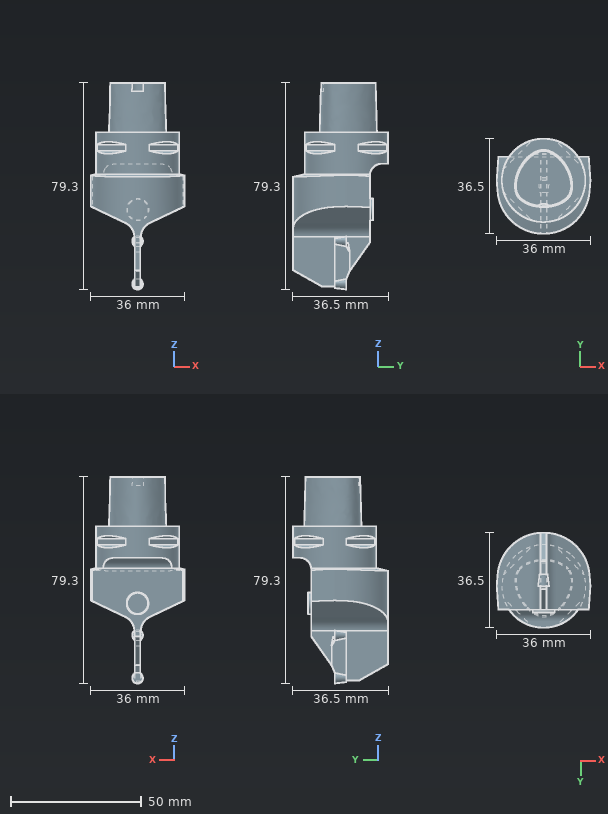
import cadquery as cq
import math


shank_height = 18.9
shank_mean_radius = 11.0
shank_lobe = 0.7
shank_shrink = 0.5
shank_points = 48
key_radius = 3.25
key_center_y = -12.2
key_depth = 3.3

flange_radius = 32.0 / 2
flange_height = 16.1
grip_z = -6.0
grip_flat_distance = 14.0
grip_floor_half = 1.2
grip_mouth_half = 2.3
grip_overcut = 0.8
grip_angles = (45, 135, 225, 315)

back_y = 9.05
front_y = -20.5
back_half_width = 17.4
body_half_width = 18.0
body_side_top_y = 0.15
body_side_low_y = -0.3
arc_start_half_width = 17.7
arc_start_y = -4.3
crown_slope = 0.25
undercut_z = -12.2
undercut_radius = 4.4

body_side_bottom_z = -28.55
neck_half = 1.31
neck_z = -40.2
neck_radius = 5.9
neck_angle = 65

blade_half = 1.1
blade_back_z = -42.35
blade_front_z = -53.0
blade_bottom_z = -59.2
blade_bottom_front_y = -9.4

seat_y = -4.5
insert_back_y = 1.2
node_radius = 2.1
insert_bottom_z = shank_height - 79.3
low_node_z = insert_bottom_z + node_radius
high_node_z = -41.9
clearance_angle = 7
flare_angle = 36.5
insert_back_low_z = -53.45
insert_back_high_z = -45.9
node_reach = 2.0
relief_width = 0.55
relief_top_z = -42.5

plug_diameter = 8.5
plug_z = -29.65
plug_height = 1.3
plug_chamfer = 0.2


def lobed_section(mean_radius, z):
    """Closed three-lobed curve of constant width, one lobe toward +Y."""
    points = []
    for i in range(shank_points):
        normal = math.pi / 2 + 2 * math.pi * i / shank_points
        phase = 3 * (normal - math.pi / 2)
        support = mean_radius + shank_lobe * math.cos(phase)
        slope = -3 * shank_lobe * math.sin(phase)
        x = support * math.cos(normal) - slope * math.sin(normal)
        y = support * math.sin(normal) + slope * math.cos(normal)
        points.append(cq.Vector(x, y, z))
    return cq.Wire.assembleEdges([cq.Edge.makeSpline(points, periodic=True)])


def make_shank():
    base = lobed_section(shank_mean_radius, 0)
    top = lobed_section(shank_mean_radius - shank_shrink, shank_height)
    shank = cq.Workplane(cq.Solid.makeLoft([base, top]))
    key = (
        cq.Workplane("XY", origin=(0, key_center_y, shank_height - key_depth))
        .circle(key_radius)
        .extrude(key_depth)
    )
    return shank.cut(key)


def grip_notch(angle):
    """Straight notch with a flat floor and flared walls, at one angle around the flange."""
    mouth_slope = (grip_mouth_half - grip_floor_half) / (flange_radius - grip_flat_distance)
    outer = flange_radius + grip_overcut
    outer_half = grip_floor_half + mouth_slope * (outer - grip_flat_distance)
    return (
        cq.Workplane("XZ")
        .polyline([
            (grip_flat_distance, grip_z - grip_floor_half),
            (outer, grip_z - outer_half),
            (outer, grip_z + outer_half),
            (grip_flat_distance, grip_z + grip_floor_half),
        ])
        .close()
        .extrude(flange_radius, both=True)
        .rotate((0, 0, 0), (0, 0, 1), angle)
    )


def make_flange():
    flange = cq.Workplane("XY").circle(flange_radius).extrude(-flange_height)
    for angle in grip_angles:
        flange = flange.cut(grip_notch(angle))
    overhang_cut = (
        cq.Workplane("YZ")
        .moveTo(flange_radius, undercut_z)
        .lineTo(back_y + undercut_radius, undercut_z)
        .radiusArc((back_y, undercut_z - undercut_radius), -undercut_radius)
        .lineTo(flange_radius, undercut_z - undercut_radius)
        .close()
        .extrude(flange_radius, both=True)
    )
    return flange.cut(overhang_cut)


def body_plan():
    """Horseshoe-shaped outline of the body, extruded over the full depth of body and blade."""
    return (
        cq.Workplane("XY", origin=(0, 0, -flange_height))
        .moveTo(back_half_width, back_y)
        .lineTo(body_half_width, body_side_top_y)
        .lineTo(body_half_width, body_side_low_y)
        .lineTo(arc_start_half_width, arc_start_y)
        .threePointArc((0, front_y), (-arc_start_half_width, arc_start_y))
        .lineTo(-body_half_width, body_side_low_y)
        .lineTo(-body_half_width, body_side_top_y)
        .lineTo(-back_half_width, back_y)
        .close()
        .extrude(blade_bottom_z + flange_height)
    )


def waist_profile():
    """Front silhouette: wide body, sloped shoulders, neck arcs and thin blade."""
    turn = math.radians(neck_angle)
    arc_x = neck_half + neck_radius * (1 - math.cos(turn))
    arc_z = neck_z + neck_radius * math.sin(turn)
    mid_x = neck_half + neck_radius * (1 - math.cos(turn / 2))
    mid_z = neck_z + neck_radius * math.sin(turn / 2)
    return (
        cq.Workplane("XZ")
        .moveTo(-body_half_width, -flange_height)
        .lineTo(-body_half_width, body_side_bottom_z)
        .lineTo(-arc_x, arc_z)
        .threePointArc((-mid_x, mid_z), (-neck_half, neck_z))
        .lineTo(-blade_half, neck_z)
        .lineTo(-blade_half, blade_bottom_z)
        .lineTo(blade_half, blade_bottom_z)
        .lineTo(blade_half, neck_z)
        .lineTo(neck_half, neck_z)
        .threePointArc((mid_x, mid_z), (arc_x, arc_z))
        .lineTo(body_half_width, body_side_bottom_z)
        .lineTo(body_half_width, -flange_height)
        .close()
        .extrude(-front_y, both=True)
    )


def side_profile():
    """Side silhouette of body and blade, with the seat for the insert left open at the bottom."""
    return (
        cq.Workplane("YZ")
        .polyline([
            (back_y, -flange_height),
            (back_y, blade_back_z),
            (insert_back_y, insert_back_low_z),
            (seat_y, insert_back_low_z),
            (seat_y, blade_bottom_z),
            (blade_bottom_front_y, blade_bottom_z),
            (front_y, blade_front_z),
            (front_y, -flange_height),
        ])
        .close()
        .extrude(body_half_width, both=True)
    )


def crown():
    """Cone that slopes the top of the body down and away from the flange."""
    height = -blade_bottom_z - flange_height
    base_radius = flange_radius + height / crown_slope
    return cq.Workplane(
        cq.Solid.makeCone(base_radius, flange_radius, height, pnt=cq.Vector(0, 0, blade_bottom_z))
    )


def make_plug():
    return (
        cq.Workplane("XZ", origin=(0, back_y, plug_z))
        .circle(plug_diameter / 2)
        .extrude(-plug_height)
        .faces(">Y")
        .chamfer(plug_chamfer)
    )


def insert_node(center_z, toward):
    """Round cutting node with tangent flares into the insert's middle, relieved away from the edge."""
    flare = math.radians(flare_angle)
    tangent_x = node_radius * math.cos(flare)
    tangent_z = toward * node_radius * math.sin(flare)
    apex_z = toward * node_radius / math.sin(flare)
    return (
        cq.Workplane("XZ", origin=(0, 0, center_z))
        .moveTo(-tangent_x, tangent_z)
        .threePointArc((0, -toward * node_radius), (tangent_x, tangent_z))
        .lineTo(0, apex_z)
        .close()
        .extrude(-seat_y, taper=clearance_angle)
    )


def make_insert():
    middle = (
        cq.Workplane("YZ")
        .polyline([
            (seat_y, high_node_z),
            (0, high_node_z),
            (0, high_node_z - node_reach),
            (insert_back_y, insert_back_high_z),
            (insert_back_y, insert_back_low_z),
            (0, low_node_z + node_reach),
            (0, low_node_z),
            (seat_y, low_node_z),
        ])
        .close()
        .extrude(blade_half, both=True)
    )
    return middle.union(insert_node(high_node_z, -1)).union(insert_node(low_node_z, 1))


def insert_relief():
    """Thin wedge of clearance in the holder beside the upper slope of the insert's back."""
    return (
        cq.Workplane("YZ")
        .polyline([
            (0, relief_top_z),
            (relief_width, relief_top_z),
            (insert_back_y, insert_back_high_z),
            (0, insert_back_high_z),
        ])
        .close()
        .extrude(blade_half, both=True)
    )


insert = make_insert()
body = body_plan().intersect(waist_profile()).intersect(side_profile()).intersect(crown())
holder = make_flange().union(make_shank()).union(body).union(make_plug())
holder = holder.cut(insert_relief()).cut(insert)

result = cq.Compound.makeCompound([holder.val(), insert.val()])